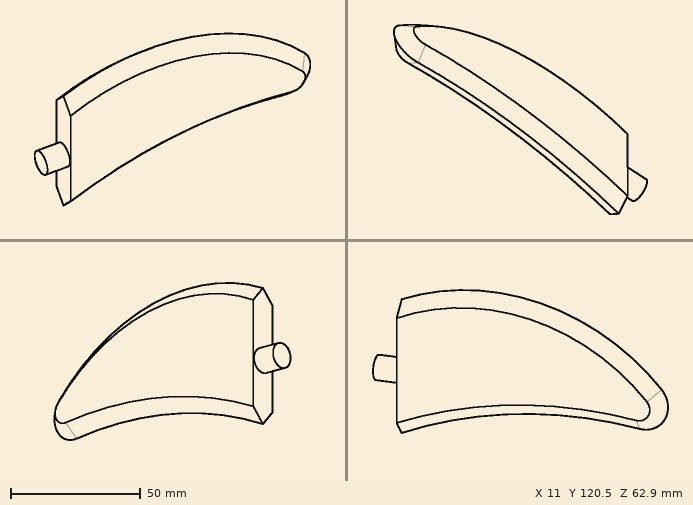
import cadquery as cq
import math

TOTAL_LENGTH = 120.5
THICKNESS = 11.0
HEIGHT = 62.9
PEG_DIAMETER = 10.0
PEG_LENGTH = 10.0
PEG_OVERLAP = 1.2
ROOT_BOTTOM = -25.7
CREST_Y = 37.8
UPPER_RADIUS = 94.3
LOWER_RADIUS = 183.7
TIP_RADIUS = 10.5
ROOT_ALLOWANCE = 9.6
BEVEL_ANGLE = 45.0

HALF_THICKNESS = THICKNESS / 2
BLADE_LENGTH = TOTAL_LENGTH - PEG_LENGTH


def height_on_arc(center, radius, y):
    """Z of the upper side of a circle at the given Y."""
    return center[1] + math.sqrt(radius**2 - (y - center[0])**2)


def point_from(start, toward, distance):
    """Point at a distance from start along the line to another point."""
    ratio = distance / math.dist(start, toward)
    return tuple(s + ratio * (t - s) for s, t in zip(start, toward))


def arc_middle(center, radius, first, last):
    """Middle of the shorter arc between two points on a circle."""
    chord_middle = tuple((a + b) / 2 for a, b in zip(first, last))
    return point_from(center, chord_middle, radius)


def lower_circle_intersection(center_a, radius_a, center_b, radius_b):
    """Intersection of two circles with the smaller Z."""
    spacing = math.dist(center_a, center_b)
    along = (radius_a**2 - radius_b**2 + spacing**2) / (2 * spacing)
    across = math.sqrt(radius_a**2 - along**2)
    unit_y = (center_b[0] - center_a[0]) / spacing
    unit_z = (center_b[1] - center_a[1]) / spacing
    foot_y = center_a[0] + along * unit_y
    foot_z = center_a[1] + along * unit_z
    return foot_y + across * unit_z, foot_z - across * unit_y


upper_center = (CREST_Y, ROOT_BOTTOM + HEIGHT - UPPER_RADIUS)
tip_y = BLADE_LENGTH - TIP_RADIUS
tip_center = (tip_y, height_on_arc(upper_center, UPPER_RADIUS - TIP_RADIUS, tip_y))
lower_center = lower_circle_intersection(
    (0, ROOT_BOTTOM), LOWER_RADIUS, tip_center, LOWER_RADIUS + TIP_RADIUS
)


def untrimmed_blade():
    """Blade narrowing both ways from the sharp edge at X = 0 to its flat faces."""
    back_y = -ROOT_ALLOWANCE
    upper_back = (back_y, height_on_arc(upper_center, UPPER_RADIUS, back_y))
    lower_back = (back_y, height_on_arc(lower_center, LOWER_RADIUS, back_y))
    upper_tangent = point_from(upper_center, tip_center, UPPER_RADIUS)
    lower_tangent = point_from(lower_center, tip_center, LOWER_RADIUS)
    tip_end = (BLADE_LENGTH, tip_center[1])
    upper_middle = arc_middle(upper_center, UPPER_RADIUS, upper_back, upper_tangent)
    lower_middle = arc_middle(lower_center, LOWER_RADIUS, lower_tangent, lower_back)
    return (
        cq.Workplane("YZ")
        .moveTo(*upper_back)
        .threePointArc(upper_middle, upper_tangent)
        .threePointArc(tip_end, lower_tangent)
        .threePointArc(lower_middle, lower_back)
        .close()
        .extrude(HALF_THICKNESS, both=True, taper=BEVEL_ANGLE)
    )


def root_trim():
    """Block that cuts the blade off square at the root face."""
    return cq.Workplane("XY").box(
        2 * THICKNESS, 2 * ROOT_ALLOWANCE, 2 * HEIGHT
    ).translate((0, -ROOT_ALLOWANCE, 0))


def peg():
    """Round peg standing out of the root face."""
    return (
        cq.Workplane("XZ", origin=(0, PEG_OVERLAP, 0))
        .circle(PEG_DIAMETER / 2)
        .extrude(PEG_LENGTH + PEG_OVERLAP)
    )


blade = untrimmed_blade().cut(root_trim())
result = blade.union(peg())